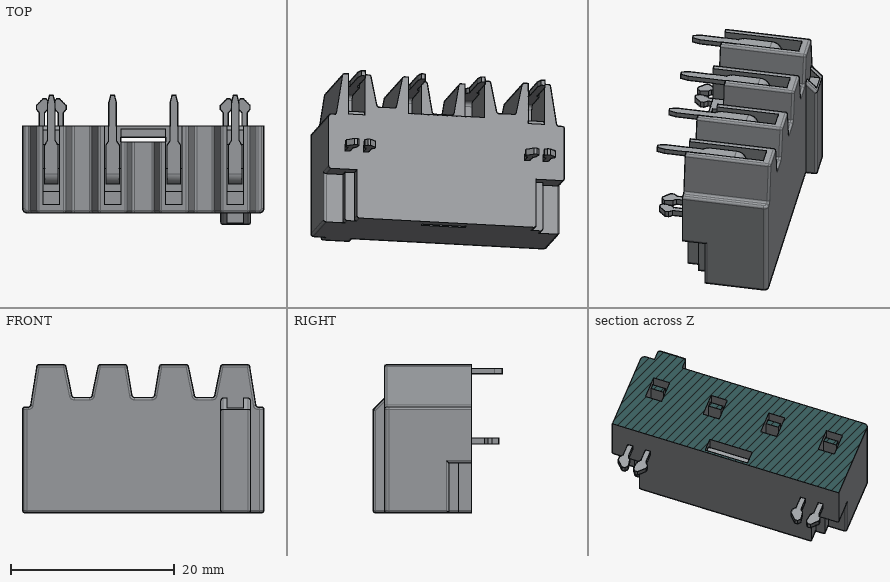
import cadquery as cq


LENGTH = 29.5
DEPTH = 10.65
HEIGHT = 18.1
SHOULDER_Z = 12.92
VALLEY_Z = 14.1
EDGE_ROUND = 0.3
CORNER_ROUND = 0.55
HALF_LENGTH = LENGTH / 2

POLES = 4
PITCH = 7.5
TOP_HALF = 1.75
BASE_HALF = 2.57
CENTRE_BASE_HALF = 2.42
POLE_XS = [(i - (POLES - 1) / 2) * PITCH for i in range(POLES)]
OUTER_POLE_XS = [POLE_XS[0], POLE_XS[-1]]

CHAMBER_WIDTH = 2.05
CHAMBER_FRONT_Y = -9.62
CHAMBER_FLOOR_Z = 13.5
WELL_FRONT_Y = -8.02
WELL_REAR_Y = -5.2
WELL_FLOOR_Z = 8.85
STEP_Y = -2.3
STEP_DROP = 0.6
REAR_CHAMFER = 0.47

PIN_TOP_Z = 17.65
PIN_THICKNESS = 0.65
PIN_HALF = 0.47
TIP_HALF = 0.25
TIP_Y = 3.78
TAPER_Y = 2.83
NECK_Y = -1.8
BLADE_HALF = 0.83
BLADE_Y = -2.35
BEND_Y = -5.9
BEND_RADIUS = 1.2

HOOK_BOTTOM_Z = 8.38
HOOK_THICKNESS = 0.77
HOOK_STEM_INNER = 0.83
HOOK_STEM_OUTER = 1.48
HOOK_STEM_Y = 1.6
HOOK_HEAD_INNER = 0.5
HOOK_HEAD_INNER_Y = 1.95
HOOK_BARB = 1.83
HOOK_BARB_REAR_Y = 2.48
HOOK_BARB_FRONT_Y = 2.05
HOOK_NOSE_INNER = 0.35
HOOK_NOSE_Y = 2.98
HOOK_TIP_INNER = 0.65
HOOK_TIP_OUTER = 1.0
HOOK_TIP_Y = 3.33

KEY_X = POLE_XS[-1] + 0.05
KEY_WIDTH = 3.65
KEY_DEPTH = 1.4
KEY_TOP_Z = 14.0
KEY_NOTCH_Z = 12.8

REAR_CUT_DEPTH = 1.95
REAR_CUT_HALF = PITCH / 2 - CHAMBER_WIDTH / 2
REAR_WALL = 0.35
LEDGE_FRONT_Y = -1.4
LEDGE_Z = 11.8

NOTCH_HEIGHT = 6.08
NOTCH_DEPTH = 2.77
NOTCH_STEP = 1.55
NOTCH_REACH = 2.35
NOTCH_REAR_REACH = 3.55

OVERLAP = 0.3

TOL = 0.03


def box(x_range, y_range, z_range):
    """Axis-aligned box from three (low, high) pairs."""
    lows, highs = zip(x_range, y_range, z_range)
    sizes = [high - low for low, high in zip(lows, highs)]
    return cq.Workplane("XY").box(*sizes, centered=False).translate(lows)


def within(x_range, y_range, z_range):
    """Selector for edges whose centre lies in the given ranges."""
    return cq.selectors.BoxSelector(*zip(x_range, y_range, z_range))


def housing_block():
    """Profile of the housing with its four tapered towers, extruded towards the front."""
    outline = [(-HALF_LENGTH, 0), (-HALF_LENGTH, SHOULDER_Z)]
    for i, x in enumerate(POLE_XS):
        left_base = CENTRE_BASE_HALF if i == POLES // 2 else BASE_HALF
        right_base = CENTRE_BASE_HALF if i == POLES // 2 - 1 else BASE_HALF
        left_z = SHOULDER_Z if i == 0 else VALLEY_Z
        right_z = SHOULDER_Z if i == POLES - 1 else VALLEY_Z
        outline += [(x - left_base, left_z), (x - TOP_HALF, HEIGHT)]
        outline += [(x + TOP_HALF, HEIGHT), (x + right_base, right_z)]
    outline += [(HALF_LENGTH, SHOULDER_Z), (HALF_LENGTH, 0)]
    return cq.Workplane("XZ").polyline(outline).close().extrude(DEPTH)


def corner_notches():
    """Lower rear corner notches, deeper along X next to the rear face."""
    left = box((-HALF_LENGTH, -HALF_LENGTH + NOTCH_REACH), (-NOTCH_DEPTH, 0), (0, NOTCH_HEIGHT))
    left = left.union(
        box((-HALF_LENGTH, -HALF_LENGTH + NOTCH_REAR_REACH), (-NOTCH_STEP, 0), (0, NOTCH_HEIGHT))
    )
    return left.union(left.mirror("YZ"))


def housing():
    """Housing with notched corners and rounded front, end, tower and underside edges."""
    inner_x = (-HALF_LENGTH + TOL, HALF_LENGTH - TOL)
    anywhere = (-LENGTH, LENGTH)
    body = housing_block().cut(corner_notches())
    body = body.edges("|Z and <Y").fillet(CORNER_ROUND)
    tower_roots = within(inner_x, anywhere, (SHOULDER_Z - TOL, VALLEY_Z + TOL))
    body = body.edges("|Y").edges(tower_roots).fillet(EDGE_ROUND)

    rounded = body.faces("<Y").edges()
    rounded = rounded.add(body.edges("|Y").edges(within(anywhere, anywhere, (HEIGHT - TOL, HEIGHT + TOL))))
    rounded = rounded.add(body.edges("|Y").edges(within(anywhere, anywhere, (-TOL, TOL))))
    for end_x in (-HALF_LENGTH, HALF_LENGTH):
        end = within((end_x - TOL, end_x + TOL), (-DEPTH, -TOL), anywhere)
        rounded = rounded.add(body.edges("|Y or |Z").edges(end))
    return body.newObject(rounded.vals()).fillet(EDGE_ROUND)


def coding_key():
    """Front rib with a 45 degree top and a flat-bottomed notch in that slope."""
    front_y = -DEPTH - KEY_DEPTH
    key = (
        cq.Workplane("YZ", origin=(KEY_X - KEY_WIDTH / 2, 0, 0))
        .polyline([
            (-DEPTH + OVERLAP, 0),
            (front_y, 0),
            (front_y, KEY_TOP_Z - KEY_DEPTH),
            (-DEPTH, KEY_TOP_Z),
            (-DEPTH + OVERLAP, KEY_TOP_Z),
        ])
        .close()
        .extrude(KEY_WIDTH)
    )
    slope_sides = key.edges("(not |X) and (not |Y) and (not |Z)")
    front_corners = key.edges("|Z and <Y")
    key = key.newObject(slope_sides.vals() + front_corners.vals()).fillet(EDGE_ROUND)
    key = key.faces("<Z").edges("<Y").fillet(EDGE_ROUND)
    half = CHAMBER_WIDTH / 2
    x = POLE_XS[-1]
    return key.cut(box((x - half, x + half), (front_y, -DEPTH), (KEY_NOTCH_Z, KEY_TOP_Z)))


def chamber(x):
    """Chamber open at the top and rear, with a deeper well for the leg of the pin."""
    span = (x - CHAMBER_WIDTH / 2, x + CHAMBER_WIDTH / 2)
    space = box(span, (CHAMBER_FRONT_Y, 0), (CHAMBER_FLOOR_Z, HEIGHT))
    return space.union(box(span, (WELL_FRONT_Y, WELL_REAR_Y), (WELL_FLOOR_Z, HEIGHT)))


def outer_chamber_step(x):
    """Lowered floor in front of a rear sill, and the chamfer on that sill."""
    span = (x - CHAMBER_WIDTH / 2, x + CHAMBER_WIDTH / 2)
    lowered = box(span, (WELL_REAR_Y, STEP_Y), (CHAMBER_FLOOR_Z - STEP_DROP, HEIGHT))
    sill = (
        cq.Workplane("YZ", origin=(span[0], 0, 0))
        .polyline([
            (-REAR_CHAMFER, CHAMBER_FLOOR_Z),
            (0, CHAMBER_FLOOR_Z - REAR_CHAMFER),
            (0, CHAMBER_FLOOR_Z),
        ])
        .close()
        .extrude(CHAMBER_WIDTH)
    )
    return lowered.union(sill)


def rear_cut():
    """Relief behind the middle valley: a rear wall, a ledge and a slot through the underside."""
    span = (-REAR_CUT_HALF, REAR_CUT_HALF)
    relief = box(span, (-REAR_CUT_DEPTH, 0), (CHAMBER_FLOOR_Z, HEIGHT))
    relief = relief.union(box(span, (-REAR_CUT_DEPTH, -REAR_WALL), (LEDGE_Z, HEIGHT)))
    return relief.union(box(span, (-REAR_CUT_DEPTH, LEDGE_FRONT_Y), (0, HEIGHT)))


def pin(x):
    """Flat pin with a tapered tip, a wider blade and a leg bent down into the well."""
    inner_radius = BEND_RADIUS - PIN_THICKNESS
    bend_z = PIN_TOP_Z - BEND_RADIUS
    side = (
        cq.Workplane("YZ", origin=(x - BLADE_HALF, 0, 0))
        .moveTo(TIP_Y, PIN_TOP_Z)
        .lineTo(BEND_Y, PIN_TOP_Z)
        .radiusArc((BEND_Y - BEND_RADIUS, bend_z), -BEND_RADIUS)
        .lineTo(BEND_Y - BEND_RADIUS, WELL_FLOOR_Z)
        .lineTo(BEND_Y - inner_radius, WELL_FLOOR_Z)
        .lineTo(BEND_Y - inner_radius, bend_z)
        .radiusArc((BEND_Y, PIN_TOP_Z - PIN_THICKNESS), inner_radius)
        .lineTo(TIP_Y, PIN_TOP_Z - PIN_THICKNESS)
        .close()
        .extrude(2 * BLADE_HALF)
    )
    right_edge = [
        (BLADE_HALF, BEND_Y - BEND_RADIUS),
        (BLADE_HALF, BLADE_Y),
        (PIN_HALF, NECK_Y),
        (PIN_HALF, TAPER_Y),
        (TIP_HALF, TIP_Y),
    ]
    left_edge = [(-half, y) for half, y in reversed(right_edge)]
    plan = cq.Workplane("XY").polyline(right_edge + left_edge).close().extrude(HEIGHT)
    return side.intersect(plan.translate((x, 0, 0)))


def snap_hooks(x):
    """Pair of barbed prongs behind an outer tower, mirrored about its centre."""
    prong = [
        (HOOK_STEM_INNER, -OVERLAP),
        (HOOK_STEM_INNER, HOOK_STEM_Y),
        (HOOK_HEAD_INNER, HOOK_HEAD_INNER_Y),
        (HOOK_NOSE_INNER, HOOK_NOSE_Y),
        (HOOK_TIP_INNER, HOOK_TIP_Y),
        (HOOK_TIP_OUTER, HOOK_TIP_Y),
        (HOOK_BARB, HOOK_BARB_REAR_Y),
        (HOOK_BARB, HOOK_BARB_FRONT_Y),
        (HOOK_STEM_OUTER, HOOK_STEM_Y),
        (HOOK_STEM_OUTER, -OVERLAP),
    ]
    right = cq.Workplane("XY").polyline(prong).close().extrude(HOOK_THICKNESS)
    return right.union(right.mirror("YZ")).translate((x, 0, HOOK_BOTTOM_Z))


result = housing().union(coding_key())
for pole_x in POLE_XS:
    result = result.cut(chamber(pole_x))
for pole_x in OUTER_POLE_XS:
    result = result.cut(outer_chamber_step(pole_x))
result = result.cut(rear_cut())
for pole_x in POLE_XS:
    result = result.union(pin(pole_x))
for pole_x in OUTER_POLE_XS:
    result = result.union(snap_hooks(pole_x))